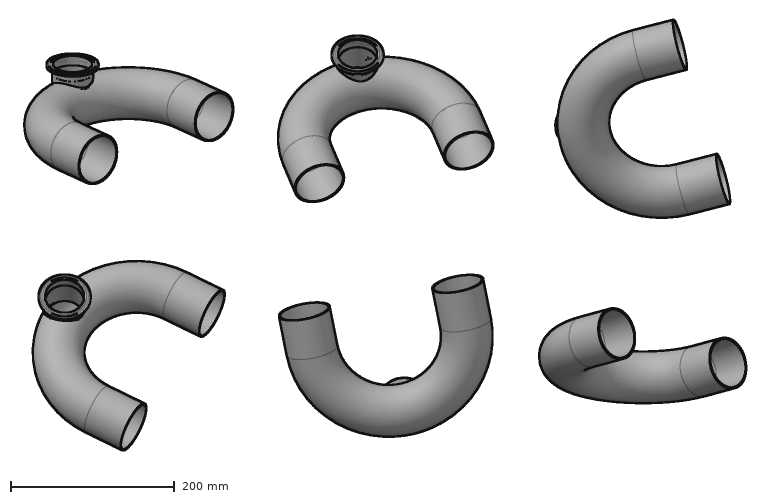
import cadquery as cq
import math

tube_diameter = 63.5
tube_bore = 60.2
overall_width = 254.0
leg_length = 50.8
bend_radius = (overall_width - tube_diameter) / 2

neck_diameter = 50.8
neck_bore = 47.5
neck_x = -overall_width / 2 + neck_diameter / 2

ferrule_bore = 47.8
ferrule_length = 12.5
flange_diameter = 64.0
rim_thickness = 2.5
rim_fillet = 0.3
flange_slope = 20.0
flange_fillet = 2.3
ferrule_top = 47.8
ferrule_base = ferrule_top - ferrule_length

groove_center_radius = 28.2
groove_radius = 1.0
groove_lip_radius = 0.8


def u_bend(diameter):
    """Solid round bar along the centreline: straight leg, half-circle bend, straight leg."""
    path = (
        cq.Workplane("XY")
        .moveTo(leg_length, -bend_radius)
        .lineTo(0, -bend_radius)
        .threePointArc((-bend_radius, 0), (0, bend_radius))
        .lineTo(leg_length, bend_radius)
    )
    start = cq.Workplane("YZ", origin=(leg_length, -bend_radius, 0))
    return start.circle(diameter / 2).sweep(path)


def branch_rod(diameter, bottom, top):
    """Vertical cylinder on the branch axis between two heights."""
    rod = cq.Workplane("XY", origin=(neck_x, 0, bottom))
    return rod.circle(diameter / 2).extrude(top - bottom)


def arc_point(center, radius, angle):
    """Point on a circle at an angle in degrees."""
    return (
        center[0] + radius * math.cos(math.radians(angle)),
        center[1] + radius * math.sin(math.radians(angle)),
    )


def ferrule_body():
    """Solid ferrule: short collar widening into a tapered clamp flange."""
    collar_radius = neck_diameter / 2
    flange_radius = flange_diameter / 2
    rim_bottom = ferrule_top - rim_thickness
    taper_drop = (flange_radius - collar_radius) * math.tan(math.radians(flange_slope))
    taper_bottom = rim_bottom - taper_drop

    tangent_length = flange_fillet * math.tan(math.radians(90 - flange_slope) / 2)
    fillet_center = (collar_radius + flange_fillet, taper_bottom - tangent_length)
    fillet_end = 90 + flange_slope
    profile = (
        cq.Workplane("XZ", origin=(neck_x, 0, 0))
        .moveTo(0, ferrule_base)
        .lineTo(collar_radius, ferrule_base)
        .lineTo(*arc_point(fillet_center, flange_fillet, 180))
        .threePointArc(
            arc_point(fillet_center, flange_fillet, (180 + fillet_end) / 2),
            arc_point(fillet_center, flange_fillet, fillet_end),
        )
        .lineTo(flange_radius, rim_bottom)
        .lineTo(flange_radius, ferrule_top)
        .lineTo(0, ferrule_top)
        .close()
    )
    body = profile.revolve(360, (0, 0), (0, 1))
    return body.faces(">Z").edges().fillet(rim_fillet)


def gasket_groove():
    """Ring with a round bottom and rounded lips, centred on the flange face."""
    center_distance = groove_radius + groove_lip_radius
    lip_offset = math.sqrt(center_distance**2 - groove_lip_radius**2)
    lip_dip = math.degrees(math.asin(groove_lip_radius / center_distance))
    lip_height = ferrule_top - groove_lip_radius
    groove_center = (groove_center_radius, ferrule_top)
    inner_lip = (groove_center_radius - lip_offset, lip_height)
    outer_lip = (groove_center_radius + lip_offset, lip_height)
    lip_middle = (90 + lip_dip) / 2

    profile = (
        cq.Workplane("XZ", origin=(neck_x, 0, 0))
        .moveTo(inner_lip[0], ferrule_top)
        .threePointArc(
            arc_point(inner_lip, groove_lip_radius, lip_middle),
            arc_point(inner_lip, groove_lip_radius, lip_dip),
        )
        .threePointArc(
            arc_point(groove_center, groove_radius, -90),
            arc_point(groove_center, groove_radius, -lip_dip),
        )
        .threePointArc(
            arc_point(outer_lip, groove_lip_radius, 180 - lip_middle),
            arc_point(outer_lip, groove_lip_radius, 90),
        )
        .close()
    )
    return profile.revolve(360, (0, 0), (0, 1))


tube = u_bend(tube_diameter).cut(u_bend(tube_bore))
neck = branch_rod(neck_diameter, 0, ferrule_base)
ferrule = ferrule_body().cut(gasket_groove())
result = (
    tube.union(neck)
    .union(ferrule)
    .cut(branch_rod(neck_bore, 0, ferrule_base))
    .cut(branch_rod(ferrule_bore, ferrule_base, ferrule_top))
)